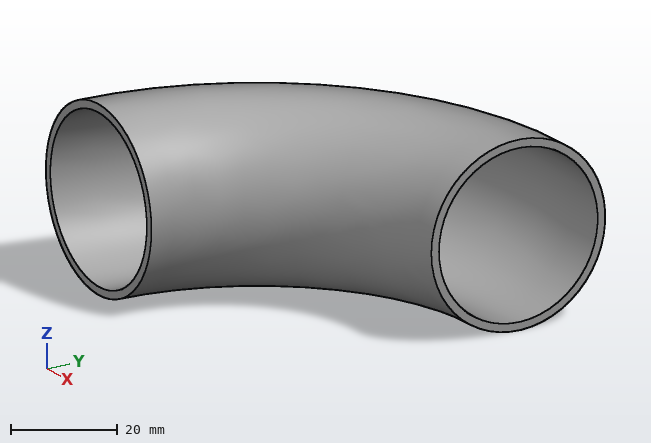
import cadquery as cq

outer_diameter = 38.1
wall_thickness = 1.7
bend_radius = 57.15
bend_angle = 90.0

outer_radius = outer_diameter / 2
inner_radius = outer_radius - wall_thickness


def tube_elbow():
    """Sweep the tube ring around a vertical bend axis at the origin.

    The ring starts on the -X side, facing -Y, and turns clockwise seen
    from above, so the elbow ends on the +Y side, facing +X.
    """
    bend_axis_start = (bend_radius, 0)
    bend_axis_end = (bend_radius, -1)
    return (
        cq.Workplane("XZ", origin=(-bend_radius, 0, 0))
        .circle(outer_radius)
        .circle(inner_radius)
        .revolve(bend_angle, bend_axis_start, bend_axis_end)
    )


result = tube_elbow()